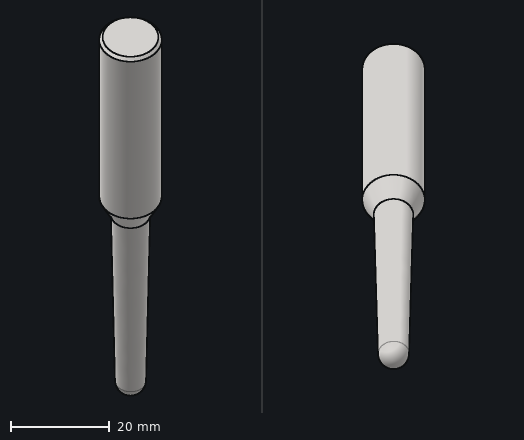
import cadquery as cq
import math

total_length = 101.6
shank_diameter = 12.7
cutter_length = 50.8
shoulder_height = 5.1
top_chamfer = 0.7
ball_diameter = 6.35
taper_angle = math.radians(1.0)

shank_radius = shank_diameter / 2
ball_radius = ball_diameter / 2
shoulder_top = cutter_length + shoulder_height

tangent_radius = ball_radius * math.cos(taper_angle)
tangent_height = ball_radius * (1 - math.sin(taper_angle))
neck_radius = tangent_radius + (cutter_length - tangent_height) * math.tan(taper_angle)


def revolve_about_axis(profile):
    """Turn a closed half profile, drawn as (radius, height), about the Z axis."""
    return profile.close().revolve(360, (0, 0, 0), (0, 1, 0))


def make_cutter():
    """Tapered cutter with a tangent ball end."""
    arc_middle_angle = -(math.pi / 2 + taper_angle) / 2
    arc_middle = (
        ball_radius * math.cos(arc_middle_angle),
        ball_radius * (1 + math.sin(arc_middle_angle)),
    )
    profile = (
        cq.Workplane("XZ")
        .moveTo(0, 0)
        .threePointArc(arc_middle, (tangent_radius, tangent_height))
        .lineTo(neck_radius, cutter_length)
        .lineTo(0, cutter_length)
    )
    return revolve_about_axis(profile)


def make_shank():
    """Straight shank with a conical shoulder below and a chamfer on top."""
    profile = (
        cq.Workplane("XZ")
        .moveTo(0, cutter_length)
        .lineTo(neck_radius, cutter_length)
        .lineTo(shank_radius, shoulder_top)
        .lineTo(shank_radius, total_length - top_chamfer)
        .lineTo(shank_radius - top_chamfer, total_length)
        .lineTo(0, total_length)
    )
    return revolve_about_axis(profile)


cutter = make_cutter()
shank = make_shank()
result = cq.Compound.makeCompound([cutter.val(), shank.val()])